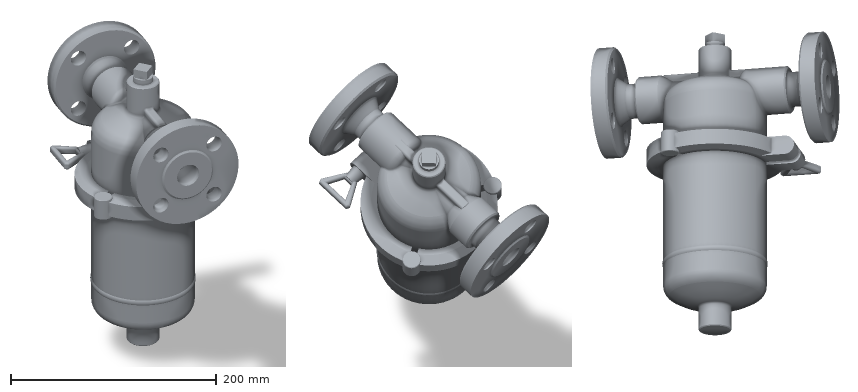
import cadquery as cq
import math

VESSEL_R = 101.0 / 2
STUB_R = 32.0 / 2
STUB_CHAMFER = 1.0
DISH_R = 85.0
BOTTOM_TANGENT_Z = 45.5
BOTTOM_KNUCKLE_R = 12.0
TOP_TANGENT_Z = 231.3
TOP_KNUCKLE_R = 18.5
BOSS_TOP_Z = 289.0
BOSS_FILLET = 3.0
STUB_FILLET = 1.8
BEAD_Z = 68.3
BEAD_HALF_HEIGHT = 2.7
BEAD_HEIGHT = 1.0

PLUG_NECK_R = 9.7
PLUG_NECK_TOP_Z = 294.5
PLUG_TOP_Z = 303.5
PLUG_SQUARE = 14.0

PIPE_Z = 242.0
FACE_X = 113.5
RAISED_FACE_R = 25.2
RAISED_FACE_BASE_R = 27.0
RAISED_FACE_HEIGHT = 1.5
FLANGE_R = 108.0 / 2
FLANGE_BACK_X = 95.5
FLANGE_CHAMFER = 1.8
HUB_R = 24.0
HUB_CONE_R = 22.5
HUB_CONE_X = 94.0
NECK_R = 34.0 / 2
NECK_OUTER_X = 85.5
NECK_FILLET = 1.8
SLEEVE_R = 46.0 / 2
SLEEVE_X = 75.5
SLEEVE_CHAMFER = 1.5
INLET_ROUND_X = 35.2
INLET_ROUND_R = 8.0
INLET_FILLET = 2.5
TRUNK_R = 16.0
TAPER_OUTER_X = 52.2
TAPER_INNER_X = 40.5
BORE_R = 23.0 / 2
BORE_DEPTH = 30.5
BOLT_HOLE_D = 16.0
BOLT_CIRCLE_D = 79.5
BOLT_COUNT = 4
BOLT_START_ANGLE = 45

RIB_TOP_Z = 265.3
RIB_HALF_WIDTH = 5.0
RIB_EDGE_R = 2.5
RIB_FOOT_R = 2.7
RIB_BOSS_FILLET = 1.8
RIB_INLET_X = -42.8
RIB_OUTLET_X = 50.7

CLAMP_Z = 177.2
CLAMP_OUTER_R = 66.8
CLAMP_HALF_HEIGHT = 9.5
CLAMP_RIM_HALF_HEIGHT = 7.5
CLAMP_FLAT_R = 56.5
HINGE_R = 64.0
HINGE_ANGLE = 60.0
HINGE_PIN_D = 18.0
HINGE_PIN_HALF_HEIGHT = 11.0
HINGE_PIN_CHAMFER = 0.5
HINGE_GAP = 6.7
LUG_AXIS_X = -75.3
LUG_GAP = 8.5
LUG_END_Y = 24.3
NUT_X = -72.8
NUT_BASE_R = 7.75
NUT_END_R = 6.0
NUT_END_Y = -37.5

HANDLE_THICKNESS = 7.5
HANDLE_EDGE_R = 2.0
HANDLE_TOP_Y = -34.0
HANDLE_BOTTOM_Y = -60.0
HANDLE_TOP_HALF_WIDTH = 7.3
HANDLE_BOTTOM_HALF_WIDTH = 20.3
HANDLE_CORNER_CUT = 1.8
WINDOW_TOP_Y = -39.0
WINDOW_BOTTOM_Y = -55.0
WINDOW_TOP_HALF_WIDTH = 5.0
WINDOW_BOTTOM_HALF_WIDTH = 12.5


def dished_head(tangent_z, knuckle_r, up):
    """Key points (radius, z) of a dished head: knuckle middle, knuckle end, and the crown centre z."""
    knuckle_x = VESSEL_R - knuckle_r
    rise = math.sqrt((DISH_R - knuckle_r) ** 2 - knuckle_x**2)
    lean = math.atan2(rise, knuckle_x)

    def on_knuckle(angle):
        return (knuckle_x + knuckle_r * math.cos(angle), tangent_z + up * knuckle_r * math.sin(angle))

    return on_knuckle(lean / 2), on_knuckle(lean), tangent_z - up * rise


def on_crown(radius, centre_z, up):
    return (radius, centre_z + up * math.sqrt(DISH_R**2 - radius**2))


def neck_fillet(fillet_r, centre_z, up):
    """Start, middle and end of the fillet running from a crown onto a stub wall."""
    fillet_x = STUB_R + fillet_r
    rise = math.sqrt((DISH_R + fillet_r) ** 2 - fillet_x**2)
    fillet_z = centre_z + up * rise
    lean = math.atan2(rise, fillet_x)

    def on_fillet(angle):
        return (fillet_x - fillet_r * math.cos(angle), fillet_z - up * fillet_r * math.sin(angle))

    return on_fillet(lean), on_fillet(lean / 2), on_fillet(0)


def make_vessel():
    low_mid, low_end, low_centre = dished_head(BOTTOM_TANGENT_Z, BOTTOM_KNUCKLE_R, -1)
    top_mid, top_end, top_centre = dished_head(TOP_TANGENT_Z, TOP_KNUCKLE_R, 1)
    low_foot, low_foot_mid, low_wall = neck_fillet(STUB_FILLET, low_centre, -1)
    top_foot, top_foot_mid, top_wall = neck_fillet(BOSS_FILLET, top_centre, 1)
    low_crown_mid = on_crown((low_foot[0] + low_end[0]) / 2, low_centre, -1)
    top_crown_mid = on_crown((top_foot[0] + top_end[0]) / 2, top_centre, 1)
    profile = (
        cq.Workplane("XZ")
        .lineTo(STUB_R - STUB_CHAMFER, 0)
        .lineTo(STUB_R, STUB_CHAMFER)
        .lineTo(*low_wall)
        .threePointArc(low_foot_mid, low_foot)
        .threePointArc(low_crown_mid, low_end)
        .threePointArc(low_mid, (VESSEL_R, BOTTOM_TANGENT_Z))
        .lineTo(VESSEL_R, BEAD_Z - BEAD_HALF_HEIGHT)
        .threePointArc((VESSEL_R + BEAD_HEIGHT, BEAD_Z), (VESSEL_R, BEAD_Z + BEAD_HALF_HEIGHT))
        .lineTo(VESSEL_R, TOP_TANGENT_Z)
        .threePointArc(top_mid, top_end)
        .threePointArc(top_crown_mid, top_foot)
        .threePointArc(top_foot_mid, top_wall)
        .lineTo(STUB_R, BOSS_TOP_Z - STUB_CHAMFER)
        .lineTo(STUB_R - STUB_CHAMFER, BOSS_TOP_Z)
        .lineTo(0, BOSS_TOP_Z)
        .close()
    )
    return profile.revolve(360, (0, 0, 0), (0, 1, 0))


def make_plug():
    neck = (
        cq.Workplane("XY", origin=(0, 0, BOSS_TOP_Z))
        .circle(PLUG_NECK_R)
        .extrude(PLUG_NECK_TOP_Z - BOSS_TOP_Z)
    )
    square = (
        cq.Workplane("XY", origin=(0, 0, PLUG_NECK_TOP_Z))
        .transformed(rotate=(0, 0, 45))
        .rect(PLUG_SQUARE, PLUG_SQUARE)
        .extrude(PLUG_TOP_Z - PLUG_NECK_TOP_Z)
    )
    return neck.union(square)


def revolve_about_pipe(profile):
    return profile.close().revolve(360, (0, 0, 0), (1, 0, 0))


def pipe_end_profile():
    """Outline of flange, hub, neck and sleeve shoulder for the +X end, up to the full sleeve radius."""
    flange_face_x = FACE_X - RAISED_FACE_HEIGHT
    fillet_mid = NECK_FILLET * (1 - math.sqrt(0.5))
    return (
        cq.Workplane("XZ", origin=(0, 0, PIPE_Z))
        .moveTo(0, 0)
        .lineTo(FACE_X, 0)
        .lineTo(FACE_X, RAISED_FACE_R)
        .lineTo(flange_face_x, RAISED_FACE_BASE_R)
        .lineTo(flange_face_x, FLANGE_R)
        .lineTo(FLANGE_BACK_X + FLANGE_CHAMFER, FLANGE_R)
        .lineTo(FLANGE_BACK_X, FLANGE_R - FLANGE_CHAMFER)
        .lineTo(FLANGE_BACK_X, HUB_R)
        .lineTo(HUB_CONE_X, HUB_CONE_R)
        .lineTo(NECK_OUTER_X, NECK_R)
        .lineTo(SLEEVE_X + NECK_FILLET, NECK_R)
        .threePointArc((SLEEVE_X + fillet_mid, NECK_R + fillet_mid), (SLEEVE_X, NECK_R + NECK_FILLET))
        .lineTo(SLEEVE_X, SLEEVE_R - SLEEVE_CHAMFER)
        .lineTo(SLEEVE_X - SLEEVE_CHAMFER, SLEEVE_R)
    )


def make_outlet():
    profile = (
        pipe_end_profile()
        .lineTo(TAPER_OUTER_X, SLEEVE_R)
        .lineTo(TAPER_INNER_X, TRUNK_R)
        .lineTo(0, TRUNK_R)
    )
    return revolve_about_pipe(profile)


def make_inlet():
    round_centre_r = SLEEVE_R - INLET_ROUND_R
    fillet_centre_r = TRUNK_R + INLET_FILLET
    lean = math.asin((fillet_centre_r - round_centre_r) / (INLET_ROUND_R + INLET_FILLET))
    fillet_centre_x = INLET_ROUND_X - (INLET_ROUND_R + INLET_FILLET) * math.cos(lean)

    def on_round(angle):
        return (
            INLET_ROUND_X - INLET_ROUND_R * math.cos(angle),
            round_centre_r + INLET_ROUND_R * math.sin(angle),
        )

    def on_fillet(angle):
        return (
            fillet_centre_x + INLET_FILLET * math.cos(angle),
            fillet_centre_r - INLET_FILLET * math.sin(angle),
        )

    quarter_turn = math.pi / 2
    middle = (lean + quarter_turn) / 2
    profile = (
        pipe_end_profile()
        .lineTo(INLET_ROUND_X, SLEEVE_R)
        .threePointArc(on_round(middle), on_round(lean))
        .threePointArc(on_fillet(middle), on_fillet(quarter_turn))
        .lineTo(0, TRUNK_R)
    )
    return revolve_about_pipe(profile).mirror("YZ")


def make_rib():
    foot_centre_y = RIB_HALF_WIDTH + RIB_FOOT_R
    foot_lean = math.acos(foot_centre_y / (TRUNK_R + RIB_FOOT_R))
    foot_centre_z = PIPE_Z + (TRUNK_R + RIB_FOOT_R) * math.sin(foot_lean)

    def on_foot(angle):
        return (
            foot_centre_y - RIB_FOOT_R * math.cos(angle),
            foot_centre_z - RIB_FOOT_R * math.sin(angle),
        )

    shoulder = RIB_HALF_WIDTH - RIB_EDGE_R
    edge_mid = RIB_EDGE_R * math.sqrt(0.5)
    half = (
        cq.Workplane("YZ", origin=(RIB_INLET_X, 0, 0))
        .moveTo(0, PIPE_Z)
        .lineTo(0, RIB_TOP_Z)
        .lineTo(shoulder, RIB_TOP_Z)
        .threePointArc(
            (shoulder + edge_mid, RIB_TOP_Z - RIB_EDGE_R + edge_mid),
            (RIB_HALF_WIDTH, RIB_TOP_Z - RIB_EDGE_R),
        )
        .lineTo(*on_foot(0))
        .threePointArc(on_foot(foot_lean / 2), on_foot(foot_lean))
        .lineTo(on_foot(foot_lean)[0], PIPE_Z)
        .close()
        .extrude(RIB_OUTLET_X - RIB_INLET_X)
    )
    return half.union(half.mirror("XZ"))


def make_flange_holes():
    """Bores and bolt holes of both flanges."""
    holes = cq.Workplane("YZ", origin=(-FACE_X, 0, PIPE_Z)).circle(BORE_R).extrude(BORE_DEPTH)
    holes = holes.union(holes.mirror("YZ"))
    for side in (-1, 1):
        bolts = (
            cq.Workplane("YZ", origin=(side * FACE_X, 0, PIPE_Z))
            .polarArray(BOLT_CIRCLE_D / 2, BOLT_START_ANGLE, 360, BOLT_COUNT)
            .circle(BOLT_HOLE_D / 2)
            .extrude(side * (FLANGE_BACK_X - FACE_X))
        )
        holes = holes.union(bolts)
    return holes


def fillet_rib_to_boss(body):
    """Round the corners where the two arms of the rib run into the boss."""
    margin = 0.3
    arm_end_x = math.sqrt(STUB_R**2 - RIB_HALF_WIDTH**2)
    for side in (-1, 1):
        corners = cq.selectors.BoxSelector(
            (side * (arm_end_x - margin), -RIB_HALF_WIDTH - margin, PIPE_Z + TRUNK_R),
            (side * (STUB_R + margin), RIB_HALF_WIDTH + margin, RIB_TOP_Z + margin),
        )
        body = body.edges(corners).fillet(RIB_BOSS_FILLET)
    return body


def make_housing():
    body = make_vessel().union(make_outlet()).union(make_inlet()).union(make_rib())
    body = fillet_rib_to_boss(body)
    return body.union(make_plug()).cut(make_flange_holes())


def make_clamp_ring():
    profile = (
        cq.Workplane("XZ", origin=(0, 0, CLAMP_Z))
        .moveTo(VESSEL_R, -CLAMP_HALF_HEIGHT)
        .lineTo(CLAMP_FLAT_R, -CLAMP_HALF_HEIGHT)
        .lineTo(CLAMP_OUTER_R, -CLAMP_RIM_HALF_HEIGHT)
        .lineTo(CLAMP_OUTER_R, CLAMP_RIM_HALF_HEIGHT)
        .lineTo(CLAMP_FLAT_R, CLAMP_HALF_HEIGHT)
        .lineTo(VESSEL_R, CLAMP_HALF_HEIGHT)
        .close()
    )
    return profile.revolve(360, (0, 0, 0), (0, 1, 0))


def make_lugs():
    """Round-ended block at the open side of the ring, reaching in to the vessel wall."""
    block = (
        cq.Workplane("XZ", origin=(0, LUG_END_Y, CLAMP_Z))
        .moveTo(0, -CLAMP_HALF_HEIGHT)
        .lineTo(LUG_AXIS_X, -CLAMP_HALF_HEIGHT)
        .threePointArc((LUG_AXIS_X - CLAMP_HALF_HEIGHT, 0), (LUG_AXIS_X, CLAMP_HALF_HEIGHT))
        .lineTo(0, CLAMP_HALF_HEIGHT)
        .close()
        .extrude(2 * LUG_END_Y)
    )
    vessel_space = cq.Workplane("XY").circle(VESSEL_R).extrude(PIPE_Z)
    return block.cut(vessel_space)


def make_hinge_pins():
    pins = (
        cq.Workplane("XY", origin=(0, 0, CLAMP_Z - HINGE_PIN_HALF_HEIGHT))
        .polarArray(HINGE_R, -HINGE_ANGLE, 2 * HINGE_ANGLE, 2)
        .circle(HINGE_PIN_D / 2)
        .extrude(2 * HINGE_PIN_HALF_HEIGHT)
    )
    return pins.faces("<Z or >Z").edges().chamfer(HINGE_PIN_CHAMFER)


def make_nut():
    return (
        cq.Workplane("XZ", origin=(NUT_X, -LUG_END_Y, CLAMP_Z))
        .circle(NUT_BASE_R)
        .workplane(offset=-LUG_END_Y - NUT_END_Y)
        .circle(NUT_END_R)
        .loft()
    )


def make_handle():
    plate = (
        cq.Workplane("XY", origin=(NUT_X, 0, CLAMP_Z - HANDLE_THICKNESS / 2))
        .moveTo(-HANDLE_TOP_HALF_WIDTH, HANDLE_TOP_Y)
        .lineTo(HANDLE_TOP_HALF_WIDTH, HANDLE_TOP_Y)
        .lineTo(HANDLE_BOTTOM_HALF_WIDTH, HANDLE_BOTTOM_Y + 2 * HANDLE_CORNER_CUT)
        .lineTo(HANDLE_BOTTOM_HALF_WIDTH - HANDLE_CORNER_CUT, HANDLE_BOTTOM_Y)
        .lineTo(HANDLE_CORNER_CUT - HANDLE_BOTTOM_HALF_WIDTH, HANDLE_BOTTOM_Y)
        .lineTo(-HANDLE_BOTTOM_HALF_WIDTH, HANDLE_BOTTOM_Y + 2 * HANDLE_CORNER_CUT)
        .close()
        .extrude(HANDLE_THICKNESS)
    )
    window = (
        cq.Workplane("XY", origin=(NUT_X, 0, CLAMP_Z - HANDLE_THICKNESS / 2))
        .moveTo(-WINDOW_TOP_HALF_WIDTH, WINDOW_TOP_Y)
        .lineTo(WINDOW_TOP_HALF_WIDTH, WINDOW_TOP_Y)
        .lineTo(WINDOW_BOTTOM_HALF_WIDTH, WINDOW_BOTTOM_Y)
        .lineTo(-WINDOW_BOTTOM_HALF_WIDTH, WINDOW_BOTTOM_Y)
        .close()
        .extrude(HANDLE_THICKNESS)
    )
    return plate.cut(window).faces("<Z or >Z").edges().fillet(HANDLE_EDGE_R)


def make_clamp():
    lug_gap = cq.Workplane("XY", origin=(-CLAMP_OUTER_R, 0, CLAMP_Z)).box(
        CLAMP_OUTER_R, LUG_GAP, 2 * CLAMP_HALF_HEIGHT
    )
    clamp = make_clamp_ring().union(make_lugs()).cut(lug_gap)
    for angle in (-HINGE_ANGLE, HINGE_ANGLE):
        hinge_gap = (
            cq.Workplane("XY", origin=(0, 0, CLAMP_Z))
            .transformed(rotate=(0, 0, angle))
            .center(HINGE_R, 0)
            .box(2 * (CLAMP_OUTER_R - VESSEL_R), HINGE_GAP, 2 * CLAMP_HALF_HEIGHT)
        )
        clamp = clamp.cut(hinge_gap)
    return clamp.union(make_hinge_pins()).union(make_nut()).union(make_handle())


housing = make_housing()
clamp = make_clamp()

result = cq.Compound.makeCompound([housing.val(), clamp.val()])